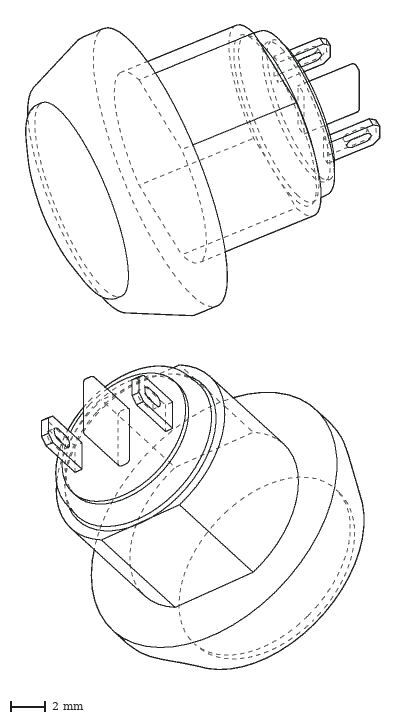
import cadquery as cq
import math


bezel_diameter = 17.5
bezel_rim_depth = 1.42
bezel_depth = 5.13
bezel_face_diameter = 14.23
bezel_rim_fillet = 0.36
bezel_face_fillet = 0.2

cap_diameter = 12.2
cap_depth = 7.17
dome_radius = 13.63
cap_edge_fillet = 0.55

barrel_diameter = 12.0
barrel_length = 7.47
across_flats = 10.65

cover_foot_diameter = 10.76
cover_base_diameter = 10.46
cover_end_diameter = 10.3
cover_foot_length = 0.25
cover_length = 1.38
cover_edge_fillet = 0.2
disc_diameter = 8.8
disc_length = 0.3

plate_thickness = 0.8
plate_width = 4.2
plate_edge_fillet = 0.25

terminal_thickness = 0.5
terminal_width = 2.0
terminal_offset = 3.23
terminal_setback = 0.3
terminal_chamfer_length = 0.45
terminal_chamfer_width = 0.4
slot_length = 1.56
slot_width = 0.8
slot_tip_distance = 0.58

overall_length = 20.05

plate_tip = overall_length - cap_depth
terminal_tip = plate_tip - terminal_setback
cover_end = barrel_length + cover_length


def turned(outline):
    """Revolve a (radius, Y) outline about the Y axis."""
    return outline.close().revolve(360, (0, 0, 0), (0, 1, 0))


def make_bezel():
    outline = (
        cq.Workplane("XY")
        .lineTo(bezel_diameter / 2, 0)
        .lineTo(bezel_diameter / 2, -bezel_rim_depth)
        .lineTo(bezel_face_diameter / 2, -bezel_depth)
        .lineTo(0, -bezel_depth)
    )
    bezel = turned(outline).faces("<Y").edges().fillet(bezel_face_fillet)
    rim_edge = bezel.faces("%CYLINDER").edges("<Y")
    return rim_edge.fillet(bezel_rim_fillet)


def make_cap():
    radius = cap_diameter / 2

    def dome_y(distance):
        return dome_radius - cap_depth - math.sqrt(dome_radius**2 - distance**2)

    outline = (
        cq.Workplane("XY")
        .lineTo(radius, 0)
        .lineTo(radius, dome_y(radius))
        .threePointArc((radius / 2, dome_y(radius / 2)), (0, -cap_depth))
    )
    cap = turned(outline)
    return cap.faces("%CYLINDER").edges("<Y").fillet(cap_edge_fillet)


def make_barrel():
    barrel = cq.Workplane("XZ").circle(barrel_diameter / 2).extrude(-barrel_length)
    flats = cq.Workplane("XZ").rect(barrel_diameter, across_flats).extrude(-barrel_length)
    return barrel.intersect(flats)


def make_cover():
    outline = (
        cq.Workplane("XY")
        .moveTo(0, barrel_length)
        .lineTo(cover_foot_diameter / 2, barrel_length)
        .lineTo(cover_base_diameter / 2, barrel_length + cover_foot_length)
        .lineTo(cover_end_diameter / 2, cover_end)
        .lineTo(0, cover_end)
    )
    cover = turned(outline).faces(">Y").edges().fillet(cover_edge_fillet)
    disc = cq.Workplane("XZ", origin=(0, cover_end, 0)).circle(disc_diameter / 2).extrude(-disc_length)
    return cover.union(disc)


def make_centre_plate():
    length = plate_tip - cover_end
    plate = cq.Workplane("XY").box(plate_thickness, length, plate_width)
    plate = plate.translate((0, cover_end + length / 2, 0))
    return plate.edges("|Y or >Y").fillet(plate_edge_fillet)


def make_terminal(x_centre):
    half_width = terminal_width / 2
    tip_half_width = half_width - terminal_chamfer_width
    shoulder = terminal_tip - terminal_chamfer_length
    blade = (
        cq.Workplane("YZ")
        .polyline([
            (cover_end, -half_width),
            (shoulder, -half_width),
            (terminal_tip, -tip_half_width),
            (terminal_tip, tip_half_width),
            (shoulder, half_width),
            (cover_end, half_width),
        ])
        .close()
        .extrude(terminal_thickness / 2, both=True)
    )
    slot_centre = terminal_tip - slot_tip_distance - slot_length / 2
    slot = (
        cq.Workplane("YZ")
        .center(slot_centre, 0)
        .slot2D(slot_length, slot_width)
        .extrude(terminal_thickness, both=True)
    )
    return blade.cut(slot).translate((x_centre, 0, 0))


result = make_bezel().union(make_cap()).union(make_barrel()).union(make_cover())
result = result.union(make_centre_plate())
for side in (-1, 1):
    result = result.union(make_terminal(side * terminal_offset))